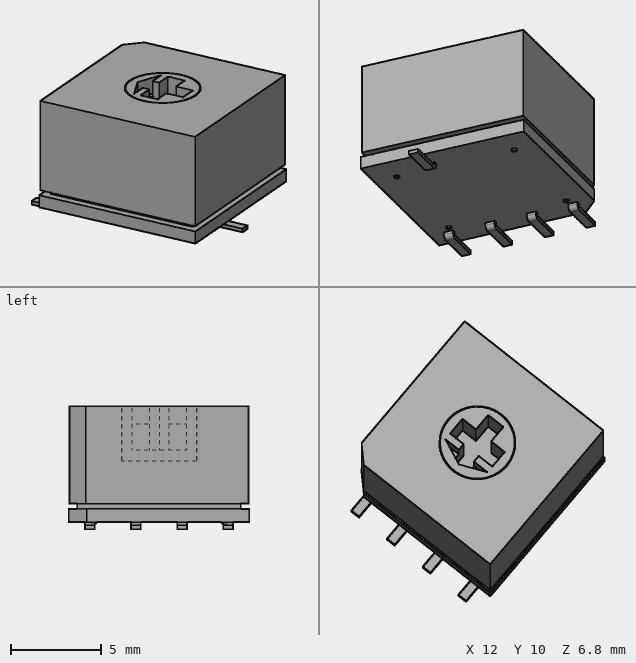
import cadquery as cq

LENGTH_X = 12.0
HEIGHT_Z = 6.8

BASE_SIDE = 10.0
NECK_SIDE = 9.05
COVER_SIDE = 9.9
BASE_BOTTOM_Z = 0.4
BASE_TOP_Z = 1.13
NECK_TOP_Z = 1.42
BASE_CORNER_CUT = 1.0
COVER_CORNER_CUT = BASE_CORNER_CUT - (BASE_SIDE - COVER_SIDE)

LEAD_PITCH = 2.55
LEAD_WIDTH = 0.55
LEAD_THICKNESS = 0.22
LEAD_REACH = 2.29
LEAD_INNER_RADIUS = 0.05
LEAD_OUTER_RADIUS = LEAD_INNER_RADIUS + LEAD_THICKNESS
LEFT_LEAD_ROWS = [-1.5, -0.5, 0.5, 1.5]
RIGHT_LEAD_ROWS = [-0.5]

FOOT_X = 3.3
FOOT_Y = 3.6
FOOT_TOP_DIAMETER = 0.34
FOOT_HEIGHT = 0.08
FOOT_TAPER_DEGREES = 35.0

BORE_DIAMETER = 4.2
ROTOR_DIAMETER = 4.1
ROTOR_HEIGHT = 3.0
BORE_FLOOR_Z = HEIGHT_Z - ROTOR_HEIGHT

CROSS_ARM_WIDTH = 1.08
CROSS_SPAN_Y = 3.0
CROSS_REACH_X = 1.61
CROSS_DEPTH = 2.4
ARROW_BACK_X = 0.96
ARROW_DEPTH = 0.96


def square_block(side, bottom_z, top_z):
    """Square block centred on the Z axis."""
    return cq.Workplane("XY").workplane(offset=bottom_z).rect(side, side).extrude(top_z - bottom_z)


def corner_cut_block(side, bottom_z, top_z, corner_cut):
    """Square block with its -X +Y corner cut off at 45 degrees."""
    return square_block(side, bottom_z, top_z).edges("|Z and <X and >Y").chamfer(corner_cut)


def left_lead(center_y):
    """Lead pointing to -X, curving up into the underside of the base."""
    tip_x = -LENGTH_X / 2
    inner_x = tip_x + LEAD_REACH
    outer_x = inner_x - LEAD_THICKNESS
    return (
        cq.Workplane("XZ", origin=(0, center_y, 0))
        .moveTo(tip_x, 0)
        .lineTo(inner_x - LEAD_OUTER_RADIUS, 0)
        .radiusArc((inner_x, LEAD_OUTER_RADIUS), -LEAD_OUTER_RADIUS)
        .lineTo(inner_x, BASE_BOTTOM_Z)
        .lineTo(outer_x, BASE_BOTTOM_Z)
        .lineTo(outer_x, LEAD_OUTER_RADIUS)
        .radiusArc((outer_x - LEAD_INNER_RADIUS, LEAD_THICKNESS), LEAD_INNER_RADIUS)
        .lineTo(tip_x, LEAD_THICKNESS)
        .close()
        .extrude(LEAD_WIDTH / 2, both=True)
    )


def right_lead(center_y):
    """Lead pointing to +X."""
    return left_lead(center_y).mirror("YZ")


def base_feet():
    """Four tapered round feet, narrowing downwards from the underside of the base."""
    return (
        cq.Workplane("XY", origin=(0, 0, BASE_BOTTOM_Z))
        .rect(2 * FOOT_X, 2 * FOOT_Y, forConstruction=True)
        .vertices()
        .circle(FOOT_TOP_DIAMETER / 2)
        .extrude(-FOOT_HEIGHT, taper=FOOT_TAPER_DEGREES)
    )


def make_housing():
    """Base, neck, cover, leads and feet in one solid, with a blind bore for the rotor."""
    housing = corner_cut_block(BASE_SIDE, BASE_BOTTOM_Z, BASE_TOP_Z, BASE_CORNER_CUT)
    housing = housing.union(square_block(NECK_SIDE, BASE_TOP_Z, NECK_TOP_Z))
    housing = housing.union(corner_cut_block(COVER_SIDE, NECK_TOP_Z, HEIGHT_Z, COVER_CORNER_CUT))
    for row in LEFT_LEAD_ROWS:
        housing = housing.union(left_lead(row * LEAD_PITCH))
    for row in RIGHT_LEAD_ROWS:
        housing = housing.union(right_lead(row * LEAD_PITCH))
    housing = housing.union(base_feet())
    bore = cq.Workplane("XY", origin=(0, 0, BORE_FLOOR_Z)).circle(BORE_DIAMETER / 2).extrude(ROTOR_HEIGHT)
    return housing.cut(bore)


def top_recess(outline, depth):
    """Recess of the given outline, sunk from the top of the rotor."""
    return cq.Workplane("XY", origin=(0, 0, HEIGHT_Z)).polyline(outline).close().extrude(-depth)


def cross_recess():
    """Deep cross whose -X arm ends in the point of the arrowhead."""
    half_arm = CROSS_ARM_WIDTH / 2
    half_span = CROSS_SPAN_Y / 2
    arrow_length = CROSS_REACH_X - ARROW_BACK_X
    shoulder_x = -CROSS_REACH_X + arrow_length * half_arm / half_span
    upright_arm = [
        (-half_arm, -half_span),
        (half_arm, -half_span),
        (half_arm, half_span),
        (-half_arm, half_span),
    ]
    pointed_arm = [
        (CROSS_REACH_X, -half_arm),
        (CROSS_REACH_X, half_arm),
        (shoulder_x, half_arm),
        (-CROSS_REACH_X, 0),
        (shoulder_x, -half_arm),
    ]
    return top_recess(upright_arm, CROSS_DEPTH).union(top_recess(pointed_arm, CROSS_DEPTH))


def arrow_recess():
    """Shallow triangle pointing to -X, as wide as the cross."""
    triangle = [
        (-CROSS_REACH_X, 0),
        (-ARROW_BACK_X, -CROSS_SPAN_Y / 2),
        (-ARROW_BACK_X, CROSS_SPAN_Y / 2),
    ]
    return top_recess(triangle, ARROW_DEPTH)


def make_rotor():
    """Round rotor resting on the bore floor, flush with the cover."""
    rotor = cq.Workplane("XY", origin=(0, 0, BORE_FLOOR_Z)).circle(ROTOR_DIAMETER / 2).extrude(ROTOR_HEIGHT)
    return rotor.cut(cross_recess()).cut(arrow_recess())


housing = make_housing()
rotor = make_rotor()

result = cq.Compound.makeCompound([housing.val(), rotor.val()])